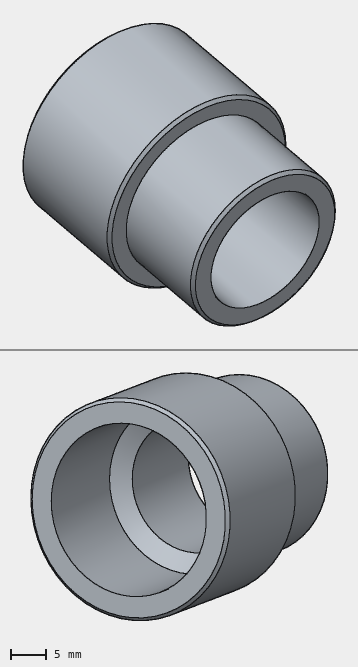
import cadquery as cq
import math

total_length = 35.0
body_diameter = 31.5
body_length = 20.0
spigot_diameter = 25.5
edge_chamfer = 0.5

socket_diameter = 24.5
socket_depth = 17.0
cone_angle = 120.0
through_diameter = 19.05

body_radius = body_diameter / 2
spigot_radius = spigot_diameter / 2
socket_radius = socket_diameter / 2
through_radius = through_diameter / 2
cone_length = (socket_radius - through_radius) / math.tan(math.radians(cone_angle / 2))
cone_end = socket_depth + cone_length

outer_profile = [
    (0, body_radius - edge_chamfer),
    (edge_chamfer, body_radius),
    (body_length - edge_chamfer, body_radius),
    (body_length, body_radius - edge_chamfer),
    (body_length, spigot_radius),
    (total_length - edge_chamfer, spigot_radius),
    (total_length, spigot_radius - edge_chamfer),
]

bore_profile = [
    (total_length, through_radius),
    (cone_end, through_radius),
    (socket_depth, socket_radius),
    (0, socket_radius),
]

result = (
    cq.Workplane("XY")
    .polyline(outer_profile + bore_profile)
    .close()
    .revolve(360, (0, 0, 0), (1, 0, 0))
)